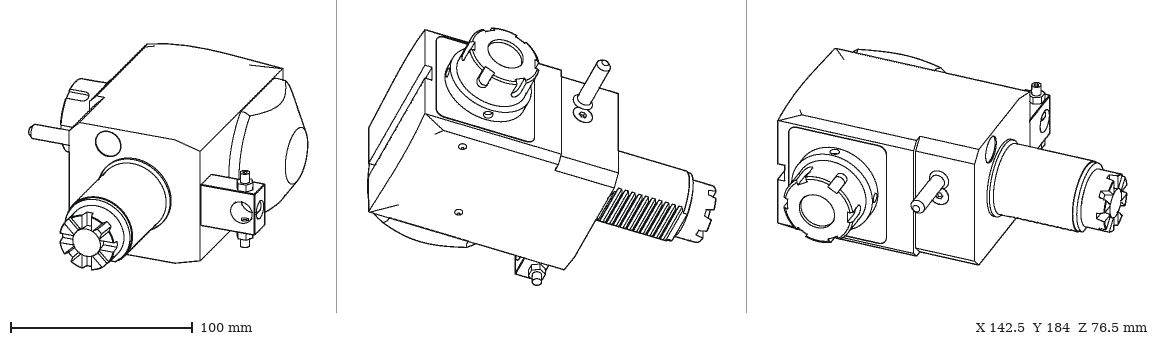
import cadquery as cq
import math


HOUSING_LENGTH = 116.3
HALF_HEIGHT = 37.5
LEFT_X = -42.1
RIGHT_X = 39.0
LEFT_CHAMFER = 4.2
TAPER_WIDTH = 15.0
TAPER_DROP = 4.2
TAPER_SLOPE = TAPER_DROP / TAPER_WIDTH
STEP_LENGTH = 35.1
STEP_X = -39.2
STEP_CHAMFER = 6.0
CROWN_PEAK_X = -14.7
CROWN_PEAK_Z = 36.6
CROWN_SHOULDER_X = 24
CROWN_SHOULDER_Z = 34.5
CROWN_END_Z = 33.1
CROWN_SLOPE = math.tan(math.radians(15))
KEYWAY_WIDTH = 10.1
KEYWAY_DEPTH = 4.2

PLUG_X = -16.0
PLUG_Z = 27.6
PLUG_RADIUS = 7.5
PLUG_DEPTH = 0.7

NIPPLE_PLACES = [(-30.5, 89.0), (16.5, 72.0)]
NIPPLE_RADIUS = 2.2
NIPPLE_TIP_RADIUS = 0.7
NIPPLE_HEIGHT = 1.5

SHANK_RADIUS = 20.0
SHANK_END = 52.6
SHANK_RIM_LENGTH = 2.4
SHANK_RIM_RADIUS = 19.5
FLANGE_RADIUS = 21.7
FLANGE_LENGTH = 1.5
FLANGE_CONE_END = 3.1
NECK_RADIUS = 12.9
NECK_LENGTH = 1.1
DRIVE_RADIUS = 16.4
DRIVE_END = 67.7
DRIVE_CHAMFER = 0.4
DRIVE_CORE_RADIUS = 8.3
DRIVE_SLOTS = 8
DRIVE_SLOT_DEPTH = 4.6
DRIVE_SLOT_MOUTH = 5.7
DRIVE_SLOT_FLOOR = 3.5

FLAT_Z = -16.2
RAMP_START = 5.2
TOOTH_PITCH = 4.0
TOOTH_DEPTH = 1.5
GROOVE_COUNT = 10
GROOVE_MOUTH = 3.5
GROOVE_FLOOR = 1.8
FIRST_GROOVE = 11.5

SPINDLE_Y = 80.5
PLATE_THICKNESS = 0.4
PLATE_LENGTH = 58.3
PLATE_HEIGHT = 63.3
PLATE_CORNER = 4.8
COLLAR_RADIUS = 24.1
COLLAR_END_X = -50.2
COLLAR_HOLE_RADIUS = 2.5
COLLAR_HOLE_DEPTH = 2.8
COLLAR_HOLE_TIP = 1.5
COLLAR_HOLE_X = -46.4
COLLAR_HOLES = 4
NUT_RADIUS = 20.8
NUT_BACK_X = -51.3
NUT_FRONT_X = -71.5
NUT_NECK_RADIUS = 18.4
NUT_CHAMFER_LENGTH = 2.0
NUT_CHAMFER_RADIUS = 19.5
NUT_CONE_LENGTH = 1.1
NUT_FACE_RADIUS = 14.9
NUT_BORE_RADIUS = 10.5
NUT_BORE_DEPTH = 2.2
NUT_SLOT_WIDTH = 6.3
NUT_SLOT_DEPTH = 3.0
SHORT_SLOT_END_X = -59.0
SHORT_SLOT_ANGLES = [90, 150, 210, 270]
LONG_SLOT_END_X = -57.5
LONG_SLOT_ANGLES = [30, 330]

PIPE_Y = 21.2
PIPE_Z = 16.2
PIPE_END_X = NUT_FRONT_X
PIPE_RADIUS = 4.0
PIPE_TIP_LENGTH = 2.2
PIPE_TIP_RADIUS = 2.0
PIPE_FLANGE_RADIUS = 5.7
PIPE_FLANGE_LENGTH = 2.0
SCREW_Z = 6.0
SCREW_RADIUS = 5.7
SCREW_HEIGHT = 0.2
SOCKET_WIDTH = 4.2
SOCKET_DEPTH = 1.8

CAP_RADIUS = 40.3
CAP_CYLINDER_END_X = 45.0
CAP_END_X = 62.4
CAP_FACE_RADIUS = 15.8
CAP_BACK_Y = 111.9
CAP_LEDGE_X = 41.5
CAP_LEDGE_Z = 32.8

BRACKET_END_X = 71.0
BRACKET_FRONT_Y = 1.3
BRACKET_BACK_Y = 16.2
BRACKET_HALF_HEIGHT = 12.5
BRACKET_CHAMFER = 0.4
BRACKET_HOLE_X = 63.1
BRACKET_HOLE_RADIUS = 6.5
BRACKET_END_HOLE_RADIUS = 5.2
STUD_Y = 6.3
STUD_RADIUS = 2.5
STUD_TIP_RADIUS = 2.0
STUD_TIP_RECESS = 1.0
STUD_HALF_LENGTH = 22.3
STUD_SOCKET_WIDTH = 2.5
STUD_NUT_WIDTH = 9.5
STUD_NUT_HEIGHT = 4.2


def revolve_about_y(profile):
    """Turn a half profile of (radius, y) points about the Y axis."""
    return cq.Workplane("XY").polyline(profile).close().revolve(360, (0, 0, 0), (0, 1, 0))


def revolve_along_x(profile, y):
    """Turn a half profile of (x, radius) points about the line parallel to X at the given Y."""
    turned = cq.Workplane("XY").polyline(profile).close().revolve(360, (0, 0, 0), (1, 0, 0))
    return turned.translate((0, y, 0))


def cylinder_along_x(x_start, x_end, y, z, radius):
    plane = cq.Workplane("YZ", origin=(x_start, y, z))
    return plane.circle(radius).extrude(x_end - x_start)


def box_between(x_range, y_range, z_range):
    size = [high - low for low, high in (x_range, y_range, z_range)]
    corner = (x_range[0], y_range[0], z_range[0])
    return cq.Workplane("XY").box(*size, centered=False).translate(corner)


def housing_block(left_x, chamfer, y_start, y_end):
    """Prism with chamfered left edges and a tapered right side."""
    upper = [
        (left_x, HALF_HEIGHT - chamfer),
        (left_x + chamfer, HALF_HEIGHT),
        (RIGHT_X - TAPER_WIDTH, HALF_HEIGHT),
        (RIGHT_X, HALF_HEIGHT - TAPER_DROP),
    ]
    lower = [(x, -z) for x, z in reversed(upper)]
    plane = cq.Workplane("XZ", origin=(0, y_start, 0))
    return plane.polyline(upper + lower).close().extrude(y_start - y_end)


def crown_cutter():
    """Waste above the crowned back edge, swept forward and outward along the crown slope."""
    ceiling = 2 * HALF_HEIGHT
    profile = (
        cq.Workplane("XZ", origin=(0, HOUSING_LENGTH, 0))
        .moveTo(LEFT_X, CROWN_END_Z)
        .spline(
            [
                (CROWN_PEAK_X, CROWN_PEAK_Z),
                (CROWN_SHOULDER_X, CROWN_SHOULDER_Z),
                (RIGHT_X, CROWN_END_Z),
            ],
            includeCurrent=True,
        )
        .lineTo(RIGHT_X, ceiling)
        .lineTo(LEFT_X, ceiling)
        .close()
    )
    reach = (HALF_HEIGHT - CROWN_END_Z) / CROWN_SLOPE * 2
    sweep = cq.Vector(0, -reach, reach * CROWN_SLOPE)
    return cq.Workplane(cq.Solid.extrudeLinear(profile.val(), [], sweep))


def housing():
    body = housing_block(STEP_X, STEP_CHAMFER, 0, STEP_LENGTH)
    body = body.union(housing_block(LEFT_X, LEFT_CHAMFER, STEP_LENGTH, HOUSING_LENGTH))
    crown = crown_cutter()
    body = body.cut(crown).cut(crown.mirror("XY"))
    keyway = box_between(
        (LEFT_X, RIGHT_X),
        (HOUSING_LENGTH - KEYWAY_DEPTH, HOUSING_LENGTH),
        (-KEYWAY_WIDTH / 2, KEYWAY_WIDTH / 2),
    )
    plug = cq.Workplane("XZ", origin=(PLUG_X, 0, PLUG_Z)).circle(PLUG_RADIUS).extrude(-PLUG_DEPTH)
    return body.cut(keyway).cut(plug)


def grease_nipples():
    cone = cq.Solid.makeCone(
        NIPPLE_RADIUS, NIPPLE_TIP_RADIUS, NIPPLE_HEIGHT,
        cq.Vector(0, 0, -HALF_HEIGHT), cq.Vector(0, 0, -1),
    )
    return cq.Workplane("XY").pushPoints(NIPPLE_PLACES).eachpoint(lambda place: cone.moved(place))


def serration_cutter():
    """Waste below the shank flat, with its 45 degree ramp and the row of grooves."""
    ramp_run = SHANK_RADIUS + FLAT_Z
    floor_z = -2 * SHANK_RADIUS
    waste = (
        cq.Workplane("YZ")
        .polyline(
            [
                (-RAMP_START, -SHANK_RADIUS),
                (-RAMP_START - ramp_run, FLAT_Z),
                (-SHANK_END, FLAT_Z),
                (-SHANK_END, floor_z),
                (-RAMP_START, floor_z),
            ]
        )
        .close()
        .extrude(SHANK_RADIUS, both=True)
    )
    groove = (
        cq.Workplane("YZ")
        .polyline(
            [
                (-GROOVE_MOUTH / 2, FLAT_Z),
                (-GROOVE_FLOOR / 2, FLAT_Z + TOOTH_DEPTH),
                (GROOVE_FLOOR / 2, FLAT_Z + TOOTH_DEPTH),
                (GROOVE_MOUTH / 2, FLAT_Z),
            ]
        )
        .close()
        .extrude(SHANK_RADIUS, both=True)
    )
    for index in range(GROOVE_COUNT):
        waste = waste.union(groove.translate((0, -FIRST_GROOVE - index * TOOTH_PITCH, 0)))
    return waste


def shank():
    body = revolve_about_y(
        [
            (0, 0),
            (FLANGE_RADIUS, 0),
            (FLANGE_RADIUS, -FLANGE_LENGTH),
            (SHANK_RADIUS, -FLANGE_CONE_END),
            (SHANK_RADIUS, -SHANK_END + SHANK_RIM_LENGTH),
            (SHANK_RIM_RADIUS, -SHANK_END + SHANK_RIM_LENGTH),
            (SHANK_RIM_RADIUS, -SHANK_END),
            (0, -SHANK_END),
        ]
    )
    return body.cut(serration_cutter())


def drive_end():
    """Neck and toothed coupling at the free end of the shank."""
    back = SHANK_END + NECK_LENGTH
    coupling = revolve_about_y(
        [
            (0, -SHANK_END),
            (NECK_RADIUS, -SHANK_END),
            (NECK_RADIUS, -back),
            (DRIVE_RADIUS, -back),
            (DRIVE_RADIUS, -DRIVE_END + DRIVE_CHAMFER),
            (DRIVE_RADIUS - DRIVE_CHAMFER, -DRIVE_END),
            (0, -DRIVE_END),
        ]
    )
    floor = -DRIVE_END + DRIVE_SLOT_DEPTH
    slot = (
        cq.Workplane("XY")
        .polyline(
            [
                (-DRIVE_SLOT_MOUTH / 2, -DRIVE_END),
                (-DRIVE_SLOT_FLOOR / 2, floor),
                (DRIVE_SLOT_FLOOR / 2, floor),
                (DRIVE_SLOT_MOUTH / 2, -DRIVE_END),
            ]
        )
        .close()
        .extrude(DRIVE_RADIUS)
    )
    for index in range(DRIVE_SLOTS):
        coupling = coupling.cut(slot.rotate((0, 0, 0), (0, 1, 0), index * 360 / DRIVE_SLOTS))
    core = cq.Workplane("XZ", origin=(0, floor, 0)).circle(DRIVE_CORE_RADIUS).extrude(DRIVE_SLOT_DEPTH)
    return coupling.union(core)


def cover_plate():
    plane = cq.Workplane("YZ", origin=(LEFT_X, SPINDLE_Y, 0))
    plate = plane.rect(PLATE_LENGTH, PLATE_HEIGHT).extrude(-PLATE_THICKNESS)
    return plate.edges("|X").fillet(PLATE_CORNER)


def collar():
    ring = cylinder_along_x(LEFT_X, COLLAR_END_X, SPINDLE_Y, 0, COLLAR_RADIUS)
    floor_z = COLLAR_RADIUS - COLLAR_HOLE_DEPTH
    hole = (
        cq.Workplane("XZ")
        .polyline(
            [
                (0, COLLAR_RADIUS),
                (COLLAR_HOLE_RADIUS, COLLAR_RADIUS),
                (COLLAR_HOLE_RADIUS, floor_z),
                (0, floor_z - COLLAR_HOLE_TIP),
            ]
        )
        .close()
        .revolve(360, (0, 0, 0), (0, 1, 0))
        .translate((COLLAR_HOLE_X, SPINDLE_Y, 0))
    )
    for index in range(COLLAR_HOLES):
        angle = index * 360 / COLLAR_HOLES
        ring = ring.cut(hole.rotate((0, SPINDLE_Y, 0), (1, SPINDLE_Y, 0), angle))
    return ring


def nut_slot(end_x, angle):
    """Round-ended spanner slot, turned about the spindle by the angle away from +Z."""
    end_centre = end_x - NUT_SLOT_WIDTH / 2
    slot = (
        cq.Workplane("XY", origin=(0, 0, NUT_RADIUS - NUT_SLOT_DEPTH))
        .moveTo(NUT_FRONT_X, -NUT_SLOT_WIDTH / 2)
        .lineTo(end_centre, -NUT_SLOT_WIDTH / 2)
        .threePointArc((end_x, 0), (end_centre, NUT_SLOT_WIDTH / 2))
        .lineTo(NUT_FRONT_X, NUT_SLOT_WIDTH / 2)
        .close()
        .extrude(NUT_RADIUS)
    )
    return slot.rotate((0, 0, 0), (1, 0, 0), angle).translate((0, SPINDLE_Y, 0))


def clamping_nut():
    nut = revolve_along_x(
        [
            (COLLAR_END_X, 0),
            (COLLAR_END_X, NUT_NECK_RADIUS),
            (NUT_BACK_X, NUT_NECK_RADIUS),
            (NUT_BACK_X, NUT_RADIUS),
            (NUT_FRONT_X + NUT_CHAMFER_LENGTH, NUT_RADIUS),
            (NUT_FRONT_X + NUT_CONE_LENGTH, NUT_CHAMFER_RADIUS),
            (NUT_FRONT_X, NUT_FACE_RADIUS),
            (NUT_FRONT_X, NUT_BORE_RADIUS),
            (NUT_FRONT_X + NUT_BORE_DEPTH, NUT_BORE_RADIUS),
            (NUT_FRONT_X + NUT_BORE_DEPTH, 0),
        ],
        SPINDLE_Y,
    )
    for angle in SHORT_SLOT_ANGLES:
        nut = nut.cut(nut_slot(SHORT_SLOT_END_X, angle))
    for angle in LONG_SLOT_ANGLES:
        nut = nut.cut(nut_slot(LONG_SLOT_END_X, angle))
    return nut


def coolant_pipe():
    pipe = revolve_along_x(
        [
            (STEP_X, 0),
            (STEP_X, PIPE_FLANGE_RADIUS),
            (STEP_X - PIPE_FLANGE_LENGTH, PIPE_RADIUS),
            (PIPE_END_X + PIPE_TIP_LENGTH, PIPE_RADIUS),
            (PIPE_END_X, PIPE_TIP_RADIUS),
            (PIPE_END_X, 0),
        ],
        PIPE_Y,
    )
    return pipe.translate((0, 0, PIPE_Z))


def locking_screw():
    """Low screw head with a hexagon socket: the head to add and the socket to cut."""
    inner_x = STEP_X + SOCKET_DEPTH
    outer_x = STEP_X - SCREW_HEIGHT
    head = cylinder_along_x(STEP_X, outer_x, PIPE_Y, SCREW_Z, SCREW_RADIUS)
    plane = cq.Workplane("YZ", origin=(inner_x, PIPE_Y, SCREW_Z))
    socket = plane.polygon(6, SOCKET_WIDTH).extrude(outer_x - inner_x)
    return head, socket


def rear_cap():
    """Cone frustum trimmed flat at the back and along the housing taper above and below."""
    cap = revolve_along_x(
        [
            (RIGHT_X, 0),
            (RIGHT_X, CAP_RADIUS),
            (CAP_CYLINDER_END_X, CAP_RADIUS),
            (CAP_END_X, CAP_FACE_RADIUS),
            (CAP_END_X, 0),
        ],
        SPINDLE_Y,
    )
    end_z = CAP_LEDGE_Z - (CAP_END_X - CAP_LEDGE_X) * TAPER_SLOPE
    upper = [(RIGHT_X, CAP_LEDGE_Z), (CAP_LEDGE_X, CAP_LEDGE_Z), (CAP_END_X, end_z)]
    lower = [(x, -z) for x, z in reversed(upper)]
    plane = cq.Workplane("XZ", origin=(0, CAP_BACK_Y, 0))
    envelope = plane.polyline(upper + lower).close().extrude(CAP_BACK_Y)
    return cap.intersect(envelope)


def bracket():
    arm = box_between(
        (RIGHT_X, BRACKET_END_X),
        (BRACKET_FRONT_Y, BRACKET_BACK_Y),
        (-BRACKET_HALF_HEIGHT, BRACKET_HALF_HEIGHT),
    )
    arm = arm.edges("|X or >X").chamfer(BRACKET_CHAMFER)
    nut_top = BRACKET_HALF_HEIGHT + STUD_NUT_HEIGHT
    plane = cq.Workplane("XY", origin=(BRACKET_HOLE_X, STUD_Y, 0))
    arm = arm.union(plane.polygon(6, STUD_NUT_WIDTH).extrude(nut_top, both=True))
    arm = arm.union(plane.circle(STUD_RADIUS).extrude(STUD_HALF_LENGTH, both=True))
    hole = (
        cq.Workplane("XZ", origin=(BRACKET_HOLE_X, 0, 0))
        .circle(BRACKET_HOLE_RADIUS)
        .extrude(-BRACKET_BACK_Y)
    )
    middle_y = (BRACKET_FRONT_Y + BRACKET_BACK_Y) / 2
    end_hole = cylinder_along_x(BRACKET_HOLE_X, BRACKET_END_X, middle_y, 0, BRACKET_END_HOLE_RADIUS)
    tip_recess = plane.circle(STUD_TIP_RADIUS).extrude(BRACKET_HOLE_RADIUS + STUD_TIP_RECESS, both=True)
    arm = arm.cut(hole).cut(end_hole).cut(tip_recess)
    socket_plane = plane.workplane(offset=STUD_HALF_LENGTH - SOCKET_DEPTH)
    return arm.cut(socket_plane.polygon(6, STUD_SOCKET_WIDTH).extrude(SOCKET_DEPTH))


screw_head, screw_socket = locking_screw()
result = housing().union(screw_head).cut(screw_socket)
for piece in (
    grease_nipples(),
    shank(),
    drive_end(),
    cover_plate(),
    collar(),
    clamping_nut(),
    coolant_pipe(),
    rear_cap(),
    bracket(),
):
    result = result.union(piece)